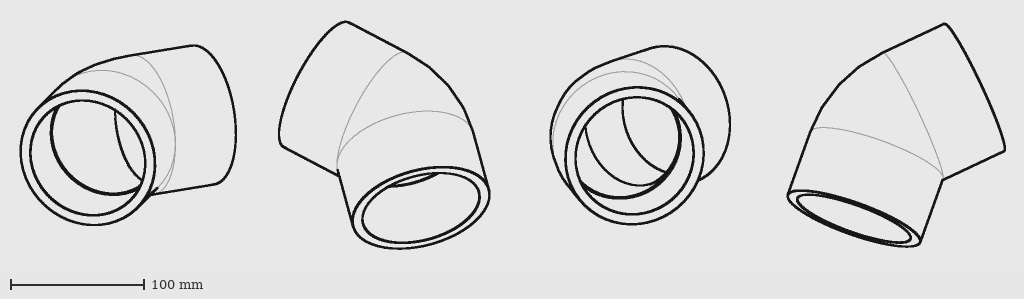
import cadquery as cq
import math

outer_diameter = 106.0
socket_diameter = 90.0
bend_bore_diameter = 87.8
bend_angle = 45.0
bend_radius = 53.2
leg_length = 51.7
rim_chamfer = 0.3

angle = math.radians(bend_angle)
inlet_joint = (0, 0, 0)
inlet_direction = (0, -1, 0)
outlet_joint = (
    bend_radius * (1 - math.cos(angle)),
    bend_radius * math.sin(angle),
    0,
)
outlet_direction = (math.sin(angle), math.cos(angle), 0)


def make_bend():
    """Curved tube, turned about a vertical axis on the inside of the bend."""
    ring = cq.Workplane("XZ").circle(outer_diameter / 2).circle(bend_bore_diameter / 2)
    return ring.revolve(bend_angle, (bend_radius, 0), (bend_radius, -1))


def make_leg(joint, direction):
    """Straight socket running outward from a joint, with a chamfered rim."""
    joint_plane = cq.Plane(origin=joint, xDir=(0, 0, 1), normal=direction)
    ring = cq.Workplane(joint_plane).circle(outer_diameter / 2).circle(socket_diameter / 2)
    leg = ring.extrude(leg_length)
    rim = leg.faces(cq.selectors.DirectionMinMaxSelector(cq.Vector(*direction)))
    return rim.edges().chamfer(rim_chamfer)


inlet_leg = make_leg(inlet_joint, inlet_direction)
outlet_leg = make_leg(outlet_joint, outlet_direction)

result = make_bend().union(inlet_leg).union(outlet_leg)